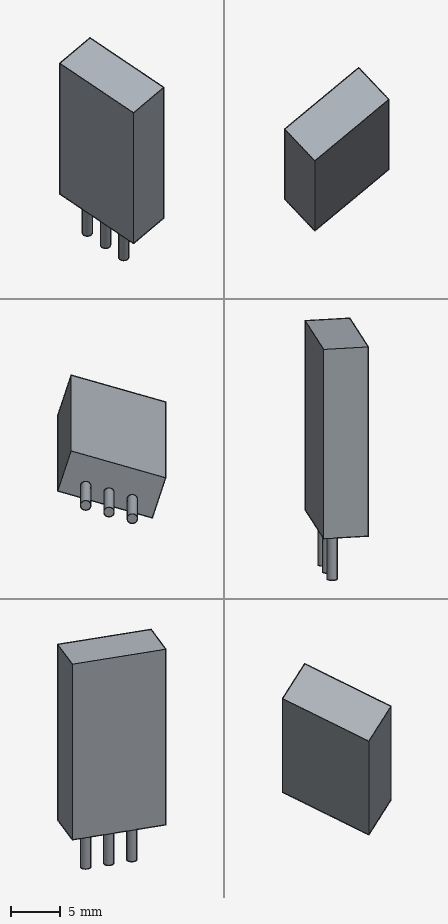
import cadquery as cq

total_height = 25.1
housing_width = 10.0
housing_depth = 4.6
housing_height = 20.0

pin_count = 3
pin_diameter = 1.05
pin_pitch = 2.45
pin_front_distance = 1.35
pin_length = total_height - housing_height
pin_y = pin_front_distance - housing_depth / 2


def make_housing():
    """Plain block standing on the plane Z = 0."""
    return cq.Workplane("XY").box(
        housing_width, housing_depth, housing_height, centered=(True, True, False)
    )


def make_pin(x):
    """Round pin hanging from the underside of the housing."""
    return cq.Workplane("XY").center(x, pin_y).circle(pin_diameter / 2).extrude(-pin_length)


housing = make_housing()

pins = []
for index in range(pin_count):
    pin_x = (index - (pin_count - 1) / 2) * pin_pitch
    pins.append(make_pin(pin_x))

result = cq.Compound.makeCompound([housing.val(), *[pin.val() for pin in pins]])